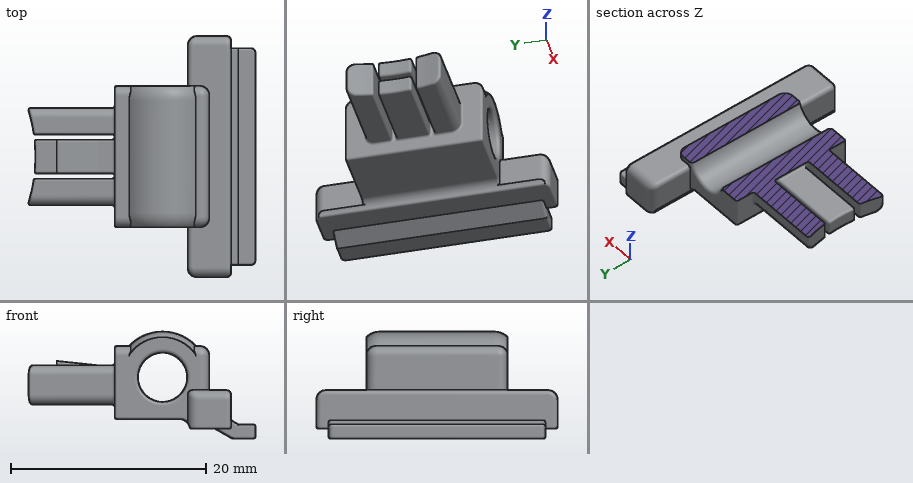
import cadquery as cq
import math


LARGE_ROUND = 1.0
MEDIUM_ROUND = 0.5
SMALL_ROUND = 0.25

BODY_LEFT = -4.91
BODY_RIGHT = 4.8
BODY_TOP = 3.22
BODY_BOTTOM = -4.3
BODY_WIDTH = 14.5
BORE_DIAMETER = 5.02
BORE_ROUND = 0.4
BARREL_RADIUS = 4.7
BARREL_END_RADIUS = 4.12
BARREL_END_LENGTH = 1.4

BAR_LEFT = 2.57
BAR_RIGHT = 7.03
BAR_TOP = -1.3
BAR_BOTTOM = -5.28
BAR_WIDTH = 24.75

SWEEP_RADIUS = 1.0
SWEEP_X = 1.78
SWEEP_Z = BODY_BOTTOM - SWEEP_RADIUS

LIP_RIGHT = 9.53
LIP_TOP = -4.82
LIP_BOTTOM = -6.3
LIP_WIDTH = 22.25
LIP_TOP_BEND = 7.76
LIP_BOTTOM_BEND = 7.16
LIP_SLOPE = math.radians(30)

PLUG_WIDTH = 10.0
PLUG_TOP = 1.24
PLUG_BOTTOM = -2.81
PLUG_SLOT = 0.5
TAB_WIDTH = 3.5
TAB_GAP = 0.5
TIP_MIDDLE = -13.05
TIP_CORNER = -13.83
WEDGE_FRONT = -10.86
WEDGE_BACK = -6.64
WEDGE_TOP = 1.69
ROOT_ROUND = SMALL_ROUND

PLUG_MIDDLE = (PLUG_TOP + PLUG_BOTTOM) / 2
PLUG_START = TIP_CORNER - LARGE_ROUND


def box(x_range, y_range, z_range):
    """Box given by its limits along each axis."""
    size = [high - low for low, high in (x_range, y_range, z_range)]
    corner = (x_range[0], y_range[0], z_range[0])
    return cq.Workplane("XY").box(*size, centered=False).translate(corner)


def extrude_across(profile, width):
    """Extrude an XZ profile symmetrically about Y = 0."""
    return profile.extrude(width / 2, both=True)


def sweep_point(angle):
    """Point on the concave sweep, with the angle measured from straight up."""
    return (SWEEP_X + SWEEP_RADIUS * math.sin(angle), SWEEP_Z + SWEEP_RADIUS * math.cos(angle))


def make_body():
    sweep_end_angle = math.asin((BAR_LEFT - SWEEP_X) / SWEEP_RADIUS)
    sweep_end = sweep_point(sweep_end_angle)
    sweep_end_z = sweep_end[1]
    sweep_middle = sweep_point(sweep_end_angle / 2)
    profile = (
        cq.Workplane("XZ")
        .moveTo(BODY_LEFT, BODY_TOP)
        .lineTo(BODY_LEFT, BODY_BOTTOM)
        .lineTo(SWEEP_X, BODY_BOTTOM)
        .threePointArc(sweep_middle, sweep_end)
        .lineTo(BODY_RIGHT, sweep_end_z)
        .lineTo(BODY_RIGHT, BODY_TOP)
        .close()
    )
    body = extrude_across(profile, BODY_WIDTH)
    body = body.edges(">X or (>Z and |X)").edges("not <Z").fillet(LARGE_ROUND)
    underside = cq.selectors.BoxSelector(
        (BODY_LEFT, -BODY_WIDTH, sweep_end_z),
        (BAR_LEFT, BODY_WIDTH, BODY_BOTTOM + SMALL_ROUND),
    )
    underside_edges = body.edges(underside).edges("<Y or >Y")
    return body.faces("<X").edges().add(underside_edges).fillet(SMALL_ROUND)


def make_barrel():
    """Barrel along Y, its ends curving in to a smaller radius, kept only where it crowns the body."""
    end_drop = BARREL_RADIUS - BARREL_END_RADIUS
    end_curve = (BARREL_END_LENGTH**2 + end_drop**2) / (2 * end_drop)
    half_angle = math.asin(BARREL_END_LENGTH / end_curve) / 2
    straight_end = BODY_WIDTH / 2 - BARREL_END_LENGTH
    curve_middle_r = BARREL_RADIUS - end_curve * (1 - math.cos(half_angle))
    curve_middle_y = straight_end + end_curve * math.sin(half_angle)
    barrel = (
        cq.Workplane("XY")
        .moveTo(0, -BODY_WIDTH / 2)
        .lineTo(BARREL_END_RADIUS, -BODY_WIDTH / 2)
        .threePointArc((curve_middle_r, -curve_middle_y), (BARREL_RADIUS, -straight_end))
        .lineTo(BARREL_RADIUS, straight_end)
        .threePointArc((curve_middle_r, curve_middle_y), (BARREL_END_RADIUS, BODY_WIDTH / 2))
        .lineTo(0, BODY_WIDTH / 2)
        .close()
        .revolve(360, (0, 0, 0), (0, 1, 0))
    )
    half_exposed = math.sqrt(BARREL_RADIUS**2 - BODY_TOP**2)
    crown = box((-half_exposed, half_exposed), (-BODY_WIDTH, BODY_WIDTH), (0, BARREL_RADIUS))
    return barrel.intersect(crown)


def make_bore():
    """Cutter for the through bore, flaring to a rounded mouth at both ends."""
    radius = BORE_DIAMETER / 2
    mouth_radius = radius + BORE_ROUND
    mouth_y = BODY_WIDTH / 2
    straight_end = mouth_y - BORE_ROUND
    round_depth = BORE_ROUND * math.cos(math.radians(45))
    round_middle_r = mouth_radius - round_depth
    round_middle_y = straight_end + round_depth
    return (
        cq.Workplane("XY")
        .moveTo(0, -mouth_y)
        .lineTo(mouth_radius, -mouth_y)
        .threePointArc((round_middle_r, -round_middle_y), (radius, -straight_end))
        .lineTo(radius, straight_end)
        .threePointArc((round_middle_r, round_middle_y), (mouth_radius, mouth_y))
        .lineTo(0, mouth_y)
        .close()
        .revolve(360, (0, 0, 0), (0, 1, 0))
    )


def make_bar():
    """Cross bar, its lower left edge scooped out by the sweep."""
    half_width = BAR_WIDTH / 2
    bar = box((BAR_LEFT, BAR_RIGHT), (-half_width, half_width), (BAR_BOTTOM, BAR_TOP))
    bar = bar.edges("(|Z and <X) or (|X and >Z)").fillet(LARGE_ROUND)
    bar = bar.faces("<X").edges(">Z").add(bar.faces(">X").edges("not <Z")).fillet(MEDIUM_ROUND)
    sweep = (
        cq.Workplane("XZ", origin=(SWEEP_X, 0, SWEEP_Z))
        .circle(SWEEP_RADIUS)
        .extrude(half_width, both=True)
    )
    return bar.cut(sweep).faces("<Z").edges().fillet(SMALL_ROUND)


def make_lip():
    hidden_z = BAR_BOTTOM + LARGE_ROUND
    top_run = (hidden_z - LIP_TOP) / math.tan(LIP_SLOPE)
    bottom_run = (hidden_z - LIP_BOTTOM) / math.tan(LIP_SLOPE)
    profile = cq.Workplane("XZ").polyline([
        (LIP_BOTTOM_BEND - bottom_run, hidden_z),
        (LIP_BOTTOM_BEND, LIP_BOTTOM),
        (LIP_RIGHT, LIP_BOTTOM),
        (LIP_RIGHT, LIP_TOP),
        (LIP_TOP_BEND, LIP_TOP),
        (LIP_TOP_BEND - top_run, hidden_z),
    ]).close()
    lip = extrude_across(profile, LIP_WIDTH)
    lip = lip.edges("|Z and >X").fillet(MEDIUM_ROUND)
    return lip.faces("<Y or >Y").edges("not (|Z or >Z)").fillet(SMALL_ROUND)


def make_tip_cutter():
    """Vertical cylinder whose surface makes the concave end of the plug."""
    half_width = PLUG_WIDTH / 2
    depth = TIP_MIDDLE - TIP_CORNER
    radius = (half_width**2 + depth**2) / (2 * depth)
    height = 2 * (PLUG_TOP - PLUG_BOTTOM)
    return (
        cq.Workplane("XY", origin=(TIP_MIDDLE - radius, 0, PLUG_MIDDLE))
        .circle(radius)
        .extrude(height / 2, both=True)
    )


def make_prong():
    """Outer prong on the +Y side."""
    inner_y = TAB_WIDTH / 2 + PLUG_SLOT
    prong = box((PLUG_START, BODY_LEFT), (inner_y, PLUG_WIDTH / 2), (PLUG_BOTTOM, PLUG_TOP))
    prong = prong.edges("|X and >Y").fillet(LARGE_ROUND)
    prong = prong.edges("|X and <Y").fillet(SMALL_ROUND)
    prong = prong.cut(make_tip_cutter())
    return prong.faces("<X").edges().fillet(SMALL_ROUND)


def make_lower_tab():
    half_width = TAB_WIDTH / 2
    top = PLUG_MIDDLE - TAB_GAP / 2
    tab = box((PLUG_START, BODY_LEFT), (-half_width, half_width), (PLUG_BOTTOM, top))
    tab = tab.edges("|X").fillet(SMALL_ROUND)
    tab = tab.cut(make_tip_cutter())
    return tab.faces("<X").edges().fillet(SMALL_ROUND)


def make_upper_tab():
    """Lower tab mirrored, with a latch wedge rising toward the tip."""
    tab = make_lower_tab().mirror("XY", (0, 0, PLUG_MIDDLE))
    wedge_base = PLUG_TOP - 2 * SMALL_ROUND
    wedge = cq.Workplane("XZ").polyline([
        (WEDGE_FRONT, wedge_base),
        (WEDGE_FRONT, WEDGE_TOP),
        (WEDGE_BACK, PLUG_TOP),
        (WEDGE_BACK, wedge_base),
    ]).close()
    wedge = extrude_across(wedge, TAB_WIDTH)
    wedge = wedge.faces(">Z").edges("<Y or >Y").fillet(SMALL_ROUND)
    return tab.union(wedge)


def add_root(member):
    """Flare one plug member into a backing plate that lies inside the body."""
    half_body = BODY_WIDTH / 2 - LARGE_ROUND
    plate = box(
        (BODY_LEFT, BODY_LEFT + LARGE_ROUND),
        (-half_body, half_body),
        (BODY_BOTTOM + LARGE_ROUND, BODY_TOP - LARGE_ROUND),
    )
    half_plug = PLUG_WIDTH / 2 + ROOT_ROUND
    root = cq.selectors.BoxSelector(
        (BODY_LEFT - ROOT_ROUND, -half_plug, PLUG_BOTTOM - ROOT_ROUND),
        (BODY_LEFT + ROOT_ROUND, half_plug, PLUG_TOP + ROOT_ROUND),
    )
    return plate.union(member).edges(root).fillet(ROOT_ROUND)


def make_part():
    prong = make_prong()
    part = make_body().union(make_barrel())
    for member in (prong, prong.mirror("XZ"), make_lower_tab(), make_upper_tab()):
        part = part.union(add_root(member))
    part = part.union(make_bar()).union(make_lip())
    return part.cut(make_bore())


result = make_part()